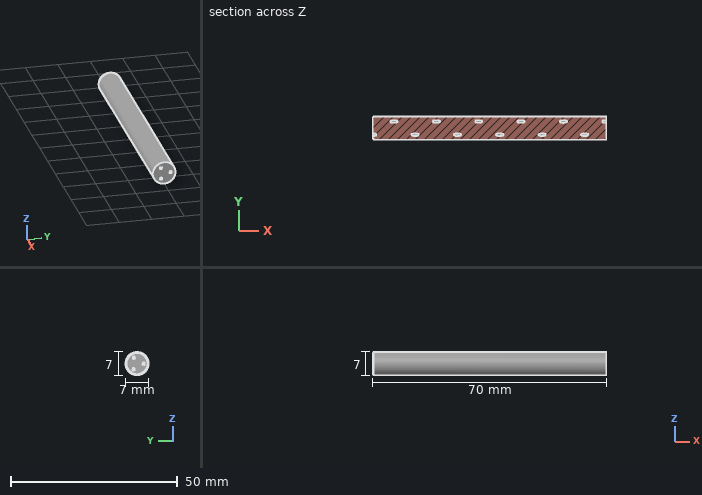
import cadquery as cq
import math

length = 70.0
diameter = 7.0
end_chamfer = 0.35

hole_count = 3
hole_diameter = 0.7
hole_circle_diameter = 4.0
first_hole_angle = 180.0
helix_angle = 30.0
helix_pitch = math.pi * diameter / math.tan(math.radians(helix_angle))
twist = 360 * length / helix_pitch


def make_rod():
    rod = cq.Workplane("YZ").circle(diameter / 2).extrude(length)
    return rod.faces("<X").edges().chamfer(end_chamfer)


def make_coolant_holes():
    return (
        cq.Workplane("YZ")
        .polarArray(hole_circle_diameter / 2, first_hole_angle, 360, hole_count, rotate=False)
        .circle(hole_diameter / 2)
        .twistExtrude(length, twist)
    )


result = make_rod().cut(make_coolant_holes())